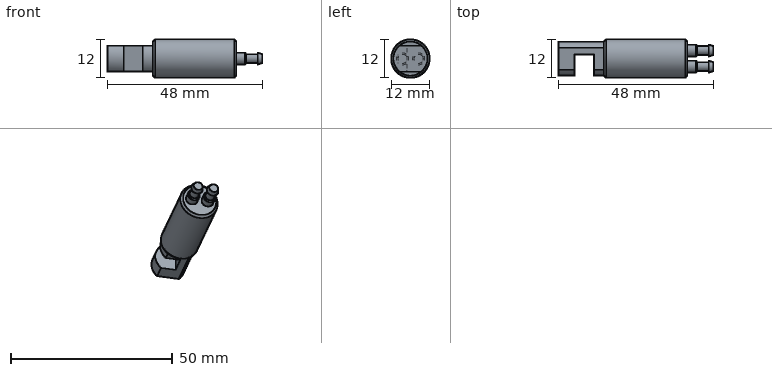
import cadquery as cq

total_length = 48.0
body_diameter = 12.0
shank_length = 14.0
body_length = 25.95
body_end = shank_length + body_length
body_edge = 0.7

shank_diameter = body_diameter - 2 * body_edge
shank_thickness = 8.0
slot_start = 5.0
slot_width = 6.0
slot_floor_y = 1.2

barb_offset_y = 2.5
barb_base_diameter = 3.75
barb_neck_diameter = 2.85
barb_base_length = 2.6
barb_base_taper = 0.45
barb_head_length = 1.45


def make_body():
    body = cq.Workplane("YZ", origin=(shank_length, 0, 0)).circle(body_diameter / 2).extrude(body_length)
    return body.faces("<X").chamfer(body_edge).faces(">X").chamfer(body_edge)


def make_shank():
    shank = cq.Workplane("YZ").circle(shank_diameter / 2).extrude(shank_length)
    flats = cq.Workplane("XY").box(
        shank_length, shank_diameter, shank_thickness, centered=(False, True, True)
    )
    slot_depth = slot_floor_y + shank_diameter / 2
    slot = (
        cq.Workplane("XY", origin=(slot_start, -shank_diameter / 2, 0))
        .box(slot_width, slot_depth, shank_diameter, centered=(False, False, True))
    )
    return shank.intersect(flats).cut(slot)


def make_barb(center_y):
    base_radius = barb_base_diameter / 2
    neck_radius = barb_neck_diameter / 2
    base_end = body_end + barb_base_length
    head_start = total_length - barb_head_length
    root = body_end - body_edge
    profile = [
        (root, 0),
        (root, base_radius),
        (base_end, base_radius),
        (base_end + barb_base_taper, neck_radius),
        (head_start, neck_radius),
        (head_start, base_radius),
        (total_length, neck_radius),
        (total_length, 0),
    ]
    barb = cq.Workplane("XY").polyline(profile).close().revolve(360, (0, 0, 0), (1, 0, 0))
    return barb.translate((0, center_y, 0))


result = make_body().union(make_shank())
for side in (-1, 1):
    result = result.union(make_barb(side * barb_offset_y))